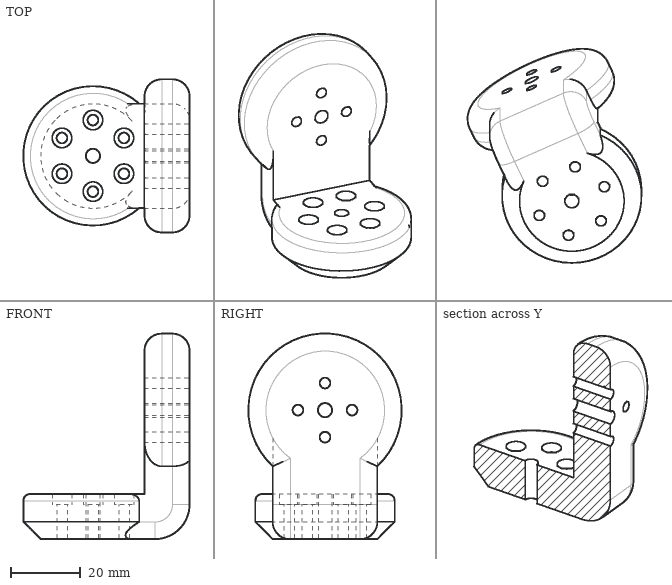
import cadquery as cq
import math

thickness = 13.0
bridge_width = 30.0
bridge_outer_bend = 10.0
edge_radius = 5.0

base_radius = 20.0
base_top_fillet = 2.0
base_bottom_chamfer = 5.0

upright_radius = 22.0
upright_centre_z = 37.0
upright_clearance = 1.5

centre_hole_diameter = 4.0
screw_diameter = 3.0
counterbore_diameter = 5.6
counterbore_depth = 3.0
base_screw_circle_radius = 10.25
base_screw_count = 6
upright_screw_circle_radius = 7.75
upright_screw_count = 4
first_screw_angle = 90.0
full_turn = 360.0

bridge_half_width = bridge_width / 2
bridge_exit_x = math.sqrt(base_radius**2 - bridge_half_width**2)
upright_inner_x = bridge_exit_x + upright_clearance
upright_outer_x = upright_inner_x + thickness


def make_base_disc():
    disc = cq.Workplane("XY").circle(base_radius).extrude(thickness)
    disc = disc.faces("<Z").chamfer(base_bottom_chamfer)
    return disc.faces(">Z").edges().fillet(base_top_fillet)


def upright_plane():
    """Workplane on the inner face of the upright disc: local x is Y, local y is Z, normal is +X."""
    return cq.Workplane("YZ", origin=(upright_inner_x, 0, upright_centre_z))


def make_upright_disc():
    disc = upright_plane().circle(upright_radius).extrude(thickness)
    return disc.edges("%CIRCLE").fillet(edge_radius)


def make_bridge():
    """L-shaped bridge between the disc axes, with its outer side edges rounded around the bend."""
    profile = (
        cq.Workplane("XZ", origin=(0, bridge_half_width, 0))
        .lineTo(upright_outer_x - bridge_outer_bend, 0)
        .radiusArc((upright_outer_x, bridge_outer_bend), -bridge_outer_bend)
        .lineTo(upright_outer_x, upright_centre_z)
        .lineTo(upright_inner_x, upright_centre_z)
        .lineTo(upright_inner_x, thickness)
        .lineTo(0, thickness)
        .close()
    )
    bridge = profile.extrude(bridge_width)
    outer_side_edges = bridge.faces("<Z").edges("|X")
    return outer_side_edges.fillet(edge_radius)


def drill_base(body):
    base_top = cq.Workplane("XY", origin=(0, 0, thickness))
    centre_hole = base_top.circle(centre_hole_diameter / 2).extrude(-thickness)
    screw_points = base_top.polarArray(base_screw_circle_radius, first_screw_angle, full_turn, base_screw_count)
    screw_holes = screw_points.circle(screw_diameter / 2).extrude(-thickness)
    counterbores = screw_points.circle(counterbore_diameter / 2).extrude(-counterbore_depth)
    return body.cut(centre_hole).cut(screw_holes).cut(counterbores)


def drill_upright(body):
    centre_hole = upright_plane().circle(centre_hole_diameter / 2).extrude(thickness)
    screw_holes = (
        upright_plane()
        .polarArray(upright_screw_circle_radius, first_screw_angle, full_turn, upright_screw_count)
        .circle(screw_diameter / 2)
        .extrude(thickness)
    )
    return body.cut(centre_hole).cut(screw_holes)


body = make_base_disc().union(make_bridge()).union(make_upright_disc())
result = drill_upright(drill_base(body))